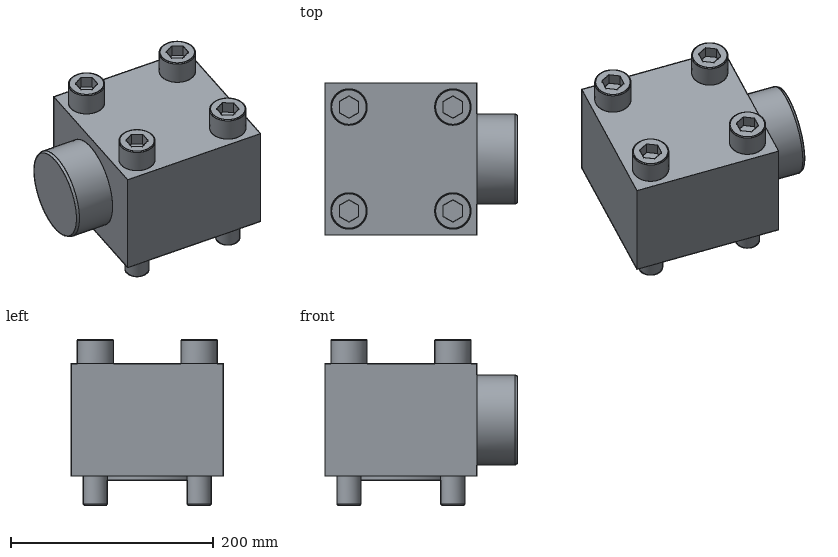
import cadquery as cq
import math

block_side = 150.0
block_height = 111.0

overall_length = 190.0
stub_diameter = 89.0
stub_length = overall_length - block_side
stub_chamfer_length = 2.7
stub_end_diameter = 86.3
stub_chamfer_depth = (stub_diameter - stub_end_diameter) / 2

spigot_diameter = 110.0
spigot_height = 4.0

screw_spacing = 102.5
shank_diameter = 24.0
head_diameter = 36.0
head_height = shank_diameter
head_chamfer = 1.0
overall_height = 164.0
shank_projection = overall_height - block_height - head_height
shank_chamfer = 1.5
hex_across_flats = 19.0
hex_across_corners = hex_across_flats / math.cos(math.pi / 6)
hex_depth = 12.0


def make_block():
    return cq.Workplane("XY").box(block_side, block_side, block_height, centered=(True, True, False))


def make_stub():
    stub = (
        cq.Workplane("YZ", origin=(block_side / 2, 0, block_height / 2))
        .circle(stub_diameter / 2)
        .extrude(stub_length)
    )
    return stub.faces(">X").chamfer(stub_chamfer_length, stub_chamfer_depth)


def make_spigot():
    return cq.Workplane("XY").circle(spigot_diameter / 2).extrude(-spigot_height)


def make_screw():
    shank = (
        cq.Workplane("XY", origin=(0, 0, -shank_projection))
        .circle(shank_diameter / 2)
        .extrude(shank_projection + block_height)
        .faces("<Z")
        .chamfer(shank_chamfer)
    )
    head = (
        cq.Workplane("XY", origin=(0, 0, block_height))
        .circle(head_diameter / 2)
        .extrude(head_height)
        .faces(">Z")
        .chamfer(head_chamfer)
    )
    socket = (
        cq.Workplane("XY", origin=(0, 0, block_height + head_height))
        .transformed(rotate=(0, 0, 90))
        .polygon(6, hex_across_corners)
        .extrude(-hex_depth)
    )
    return shank.union(head.cut(socket))


result = make_block().union(make_stub()).union(make_spigot())
screw = make_screw()
for x_side in (-1, 1):
    for y_side in (-1, 1):
        screw_position = (x_side * screw_spacing / 2, y_side * screw_spacing / 2, 0)
        result = result.union(screw.translate(screw_position))